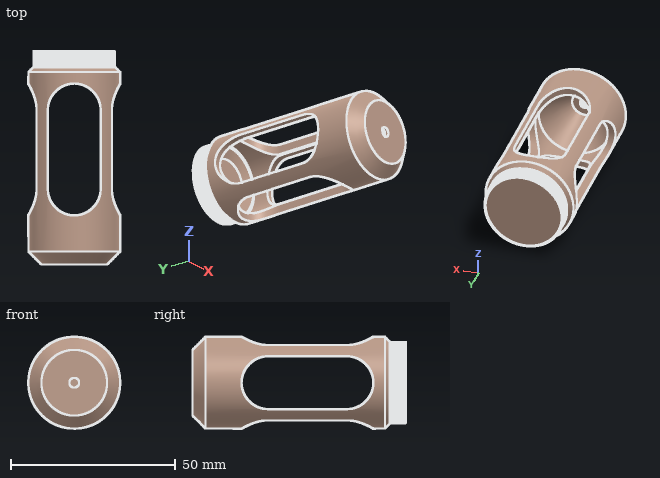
import cadquery as cq
import math

outer_diameter = 28.0
bore_diameter = 23.0
total_length = 65.0
nose_chamfer = 4.0
shoulder_chamfer = 1.5
end_wall = 1.25

thread_length = 5.0
thread_pitch = 0.75
thread_crest_diameter = 24.9
thread_root_diameter = 24.0
thread_crest_width = thread_pitch / 8
thread_flank_angle = 30.0
thread_overlap = 0.1

pilot_diameter = 3.0

funnel_floor_radius = 4.0
funnel_length = 10.0

recess_mouth_radius = 11.0
recess_floor_radius = 7.4
recess_depth = 1.3

window_width = 16.0
window_length = 40.0
window_start = 15.0

outer_radius = outer_diameter / 2
root_radius = thread_root_diameter / 2
crest_radius = thread_crest_diameter / 2
thread_start = total_length - thread_length
window_middle = window_start + window_length / 2


def cylinder_along_y(diameter, start, length):
    """Solid cylinder on the Y axis, from Y = start to Y = start + length."""
    plane = cq.Plane(origin=(0, start, 0), xDir=(1, 0, 0), normal=(0, 1, 0))
    return cq.Workplane(plane).circle(diameter / 2).extrude(length)


def make_barrel():
    """Outer shape: chamfered nose, straight barrel and rear shoulder."""
    shoulder_start = thread_start - shoulder_chamfer
    return (
        cq.Workplane("XY")
        .moveTo(0, 0)
        .lineTo(outer_radius - nose_chamfer, 0)
        .lineTo(outer_radius, nose_chamfer)
        .lineTo(outer_radius, shoulder_start)
        .lineTo(outer_radius - shoulder_chamfer, thread_start)
        .lineTo(0, thread_start)
        .close()
        .revolve(360, (0, 0, 0), (0, 1, 0))
    )


def make_threaded_neck():
    """Core with a right-handed helical ridge, trimmed flush at both ends of the neck."""
    foot_radius = root_radius - thread_overlap
    flank_run = (crest_radius - foot_radius) * math.tan(math.radians(thread_flank_angle))
    crest_half = thread_crest_width / 2
    foot_half = crest_half + flank_run
    ridge_start = thread_start - thread_pitch - crest_half
    ridge_length = thread_length + 2 * thread_pitch
    helix = cq.Wire.makeHelix(thread_pitch, ridge_length, root_radius)
    ridge = (
        cq.Workplane("XZ")
        .moveTo(foot_radius, -foot_half)
        .lineTo(crest_radius, -crest_half)
        .lineTo(crest_radius, crest_half)
        .lineTo(foot_radius, foot_half)
        .close()
        .sweep(cq.Workplane(obj=helix), isFrenet=True)
        .rotate((0, 0, 0), (1, 0, 0), -90)
        .translate((0, ridge_start, 0))
    )
    core_start = ridge_start - thread_pitch
    core_length = ridge_length + 2 * thread_pitch
    core = cylinder_along_y(thread_root_diameter, core_start, core_length)
    neck_envelope = cylinder_along_y(outer_diameter, thread_start, thread_length)
    return core.union(ridge).intersect(neck_envelope)


def make_window():
    """Round-ended slot running along Z through both walls of the barrel."""
    return (
        cq.Workplane("XY")
        .center(0, window_middle)
        .slot2D(window_length, window_width, 90)
        .extrude(outer_radius, both=True)
    )


def make_cavity():
    """Funnel-ended bore with a tapered recess reaching into the threaded neck."""
    bore_radius = bore_diameter / 2
    return (
        cq.Workplane("XY")
        .moveTo(0, end_wall)
        .lineTo(funnel_floor_radius, end_wall)
        .lineTo(bore_radius, end_wall + funnel_length)
        .lineTo(bore_radius, thread_start)
        .lineTo(recess_mouth_radius, thread_start)
        .lineTo(recess_floor_radius, thread_start + recess_depth)
        .lineTo(0, thread_start + recess_depth)
        .close()
        .revolve(360, (0, 0, 0), (0, 1, 0))
    )


result = make_barrel().union(make_threaded_neck())
result = result.cut(make_cavity())
result = result.cut(cylinder_along_y(pilot_diameter, 0, end_wall))
window_along_z = make_window()
window_along_x = window_along_z.rotate((0, 0, 0), (0, 1, 0), 90)
result = result.cut(window_along_z).cut(window_along_x)